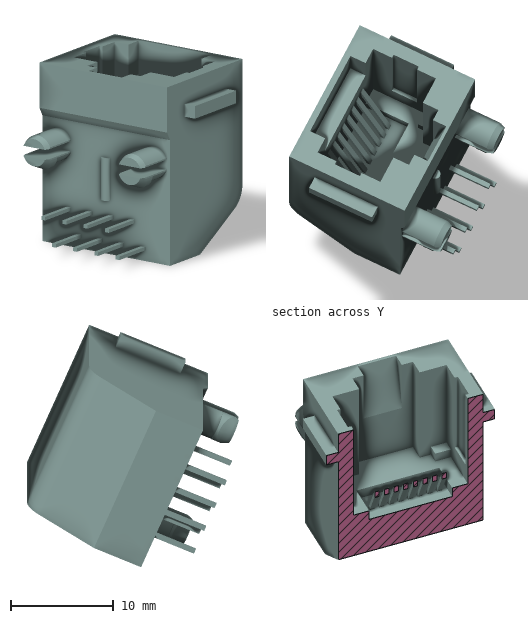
import cadquery as cq
import math


PITCH = 1.016
PIN_PITCH = 2.54
PIN_COUNT_PER_ROW = 4
CONTACT_COUNT = 2 * PIN_COUNT_PER_ROW

BODY_WIDTH = 15.3
BODY_DEPTH = 12.57
BODY_HEIGHT = 18.16
BOARD_FACE_Y = 0.508
BAND_HEIGHT = 4.57
SLOPE = math.radians(30)
FLAT_BOTTOM_END_Y = 5.5
BACK_CORNER_RADIUS = 2.54

TAB_SPAN = 17.78
TAB_BACK_Y = 9.78
TAB_FRONT_Y = 2.92
TAB_TOP_DEPTH = 2.36
TAB_HEIGHT = 1.27

CAVITY_WIDTH = 12.04
CAVITY_BACK_Y = 10.29
CAVITY_FRONT_Y = 3.456
CAVITY_DEPTH = 11.0
STOP_FRONT_TO_BACK = 1.1
STOP_HEIGHT = 1.0
POCKET_WIDTH = 8.75
POCKET_FRONT_Y = 5.58
POCKET_DEPTH = 12.1
RECESS_BACK_Y = 11.94
RECESS_DEPTH = 3.37
NOTCH_SPAN = 12.75
NOTCH_FRONT_Y = 5.5
NOTCH_BACK_Y = 8.24
NOTCH_DEPTH = 9.0
KEY_WIDTH = 6.38
KEY_FRONT_Y = 1.765
LATCH_WIDTH = 4.03
LATCH_FRONT_Y = 0.307
LATCH_DRAFT = math.radians(14.7)

CONTACT_WIDTH = 0.508
CONTACT_ROOT_DEPTH = 5.46
CONTACT_TIP_Y = 7.22
CONTACT_WALL_HEIGHT = 0.78

PEG_X = 5.715
PEG_Z = 10.16
PEG_RADIUS = 1.62
PEG_WIDTH = 2.96
PEG_TIP_Y = -3.556
PEG_TIP_RADIUS = 1.375
PEG_TAPER = math.radians(22)
PEG_SLOT_HEIGHT = 1.016
BARB_START_Y = PEG_TIP_Y / 2
BARB_REACH = 1.99

RIB_RADIUS = 0.508
RIB_BOTTOM_Z = 5.45
RIB_TOP_Z = 9.68
PIN_TIP_Y = -3.81
PIN_WIDTH = 0.47
PIN_THICKNESS = 0.36
PIN_ROWS = ((3.81, -PIN_PITCH / 4), (1.27, PIN_PITCH / 4))


def block(x_range, y_range, z_range):
    """Box between the given limits on each axis."""
    limits = (x_range, y_range, z_range)
    size = [high - low for low, high in limits]
    corner = cq.Vector(*[low for low, high in limits])
    return cq.Workplane(obj=cq.Solid.makeBox(*size, corner))


def centred_block(width, y_range, z_range):
    """Box that is symmetric about the middle plane."""
    return block((-width / 2, width / 2), y_range, z_range)


def side_prism(points, width, x_centre=0):
    """Prism along X from a (Y, Z) outline."""
    plane = cq.Workplane("YZ", origin=(x_centre - width / 2, 0, 0))
    return plane.polyline(points).close().extrude(width)


def mouth_cut(width, y_range, depth):
    """Symmetric rectangular cut from the mouth face down."""
    return centred_block(width, y_range, (BODY_HEIGHT - depth, BODY_HEIGHT))


def housing():
    band_z = BODY_HEIGHT - BAND_HEIGHT
    step_z = band_z - BOARD_FACE_Y / math.tan(SLOPE)
    back_corner_z = (BODY_DEPTH - FLAT_BOTTOM_END_Y) * math.tan(SLOPE)
    outline = [
        (0, BODY_HEIGHT),
        (0, band_z),
        (BOARD_FACE_Y, step_z),
        (BOARD_FACE_Y, 0),
        (FLAT_BOTTOM_END_Y, 0),
        (BODY_DEPTH, back_corner_z),
        (BODY_DEPTH, BODY_HEIGHT),
    ]
    back_corner = cq.selectors.NearestToPointSelector((0, BODY_DEPTH, back_corner_z))
    body = side_prism(outline, BODY_WIDTH).edges("|X").edges(back_corner).fillet(BACK_CORNER_RADIUS)
    tab_top_z = BODY_HEIGHT - TAB_TOP_DEPTH
    tabs = centred_block(TAB_SPAN, (TAB_FRONT_Y, TAB_BACK_Y), (tab_top_z - TAB_HEIGHT, tab_top_z))
    return body.union(tabs)


def corner_stops():
    stop_y = (CAVITY_FRONT_Y, CAVITY_FRONT_Y + STOP_FRONT_TO_BACK)
    floor_z = BODY_HEIGHT - CAVITY_DEPTH
    stop_z = (floor_z, floor_z + STOP_HEIGHT)
    stops = centred_block(CAVITY_WIDTH, stop_y, stop_z)
    return stops.cut(centred_block(POCKET_WIDTH, stop_y, stop_z))


def latch_slot():
    """Wedge that opens the front of the key towards the mouth."""
    wedge_depth = (KEY_FRONT_Y - LATCH_FRONT_Y) / math.tan(LATCH_DRAFT)
    outline = [
        (KEY_FRONT_Y, BODY_HEIGHT),
        (LATCH_FRONT_Y, BODY_HEIGHT),
        (KEY_FRONT_Y, BODY_HEIGHT - wedge_depth),
    ]
    return side_prism(outline, LATCH_WIDTH)


def mouth():
    cavity = mouth_cut(CAVITY_WIDTH, (CAVITY_FRONT_Y, CAVITY_BACK_Y), CAVITY_DEPTH)
    cavity = cavity.union(mouth_cut(NOTCH_SPAN, (NOTCH_FRONT_Y, NOTCH_BACK_Y), NOTCH_DEPTH))
    cavity = cavity.union(mouth_cut(KEY_WIDTH, (KEY_FRONT_Y, CAVITY_FRONT_Y), CAVITY_DEPTH))
    cavity = cavity.union(mouth_cut(POCKET_WIDTH, (POCKET_FRONT_Y, CAVITY_BACK_Y), POCKET_DEPTH))
    cavity = cavity.union(mouth_cut(POCKET_WIDTH, (CAVITY_BACK_Y, RECESS_BACK_Y), RECESS_DEPTH))
    return cavity.union(latch_slot()).cut(corner_stops())


def contact(x):
    """Slanted spring wire from the back wall down to the pocket floor."""
    root_z = BODY_HEIGHT - CONTACT_ROOT_DEPTH
    floor_z = BODY_HEIGHT - POCKET_DEPTH
    rise_over_run = (root_z - floor_z) / (CAVITY_BACK_Y - CONTACT_TIP_Y)
    outline = [
        (CAVITY_BACK_Y, root_z),
        (CONTACT_TIP_Y, floor_z),
        (CONTACT_TIP_Y + CONTACT_WALL_HEIGHT / rise_over_run, floor_z),
        (CAVITY_BACK_Y, root_z - CONTACT_WALL_HEIGHT),
    ]
    return side_prism(outline, CONTACT_WIDTH, x)


def peg(x):
    """Slotted peg with flat sides, a tapered tip and a barb under its lower half."""
    half_width = PEG_WIDTH / 2
    half_slot = PEG_SLOT_HEIGHT / 2
    flat_half_height = math.sqrt(PEG_RADIUS**2 - half_width**2)
    x_limits = (x - half_width, x + half_width)
    y_limits = (PEG_TIP_Y, BOARD_FACE_Y)
    length = BOARD_FACE_Y - PEG_TIP_Y

    shaft = cq.Workplane("XZ", origin=(x, BOARD_FACE_Y, PEG_Z)).circle(PEG_RADIUS).extrude(length)
    shaft = shaft.intersect(block(x_limits, y_limits, (PEG_Z - PEG_RADIUS, PEG_Z + PEG_RADIUS)))

    barb = (
        cq.Workplane("XZ", origin=(x, BARB_START_Y, PEG_Z))
        .moveTo(-half_width, -half_slot)
        .lineTo(-half_width, -flat_half_height)
        .threePointArc((0, -BARB_REACH), (half_width, -flat_half_height))
        .lineTo(half_width, -half_slot)
        .close()
        .extrude(BARB_START_Y - PEG_TIP_Y)
    )

    slot = block(x_limits, y_limits, (PEG_Z - half_slot, PEG_Z + half_slot))
    cone_base_radius = PEG_TIP_RADIUS + length * math.tan(PEG_TAPER)
    cone = cq.Solid.makeCone(
        cone_base_radius,
        PEG_TIP_RADIUS,
        length,
        pnt=cq.Vector(x, BOARD_FACE_Y, PEG_Z),
        dir=cq.Vector(0, -1, 0),
    )
    return shaft.cut(slot).union(barb).intersect(cq.Workplane(obj=cone))


def standoff_rib():
    rib_plane = cq.Workplane("XY", origin=(0, BOARD_FACE_Y, RIB_BOTTOM_Z))
    return rib_plane.circle(RIB_RADIUS).extrude(RIB_TOP_Z - RIB_BOTTOM_Z)


def solder_pins():
    pins = cq.Workplane()
    for row_z, row_shift in PIN_ROWS:
        for i in range(PIN_COUNT_PER_ROW):
            x = (i - (PIN_COUNT_PER_ROW - 1) / 2) * PIN_PITCH + row_shift
            pins = pins.add(
                block(
                    (x - PIN_WIDTH / 2, x + PIN_WIDTH / 2),
                    (PIN_TIP_Y, BOARD_FACE_Y),
                    (row_z - PIN_THICKNESS / 2, row_z + PIN_THICKNESS / 2),
                )
            )
    return pins.combine()


part = housing().cut(mouth()).union(standoff_rib()).union(solder_pins())
for i in range(CONTACT_COUNT):
    part = part.union(contact((i - (CONTACT_COUNT - 1) / 2) * PITCH))
for side in (-1, 1):
    part = part.union(peg(side * PEG_X))

result = part